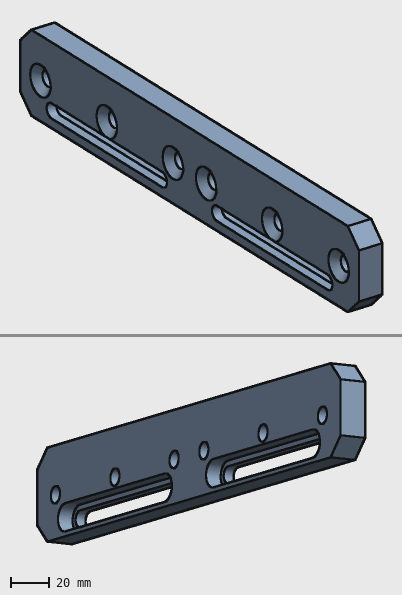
import cadquery as cq

length = 307.0
thickness = 15.0
height = 50.0
corner_chamfer = 10.0

hole_diameter = 9.2
sink_diameter = 18.5
sink_angle = 90.0
hole_height = 23.5
hole_offsets = (15.0, 75.0, 135.0)

slot_length = 109.0
slot_width = 9.0
lip_depth = 6.0
pocket_width = 15.0
slot_height = 10.0
slot_offset = 75.0

plate = (
    cq.Workplane("XY")
    .box(length, thickness, height)
    .edges("|Y")
    .chamfer(corner_chamfer)
)


def front_points(offsets, height_above_bottom):
    """Mirrored pairs of points on the front face, at one height."""
    z = height_above_bottom - height / 2
    return [(side * offset, z) for offset in offsets for side in (-1, 1)]


def slot_pair(slot_size, width, start_depth):
    """Two slot-shaped cutters running from a depth below the front face out through the back."""
    return (
        cq.Workplane("XZ", origin=(0, start_depth - thickness / 2, 0))
        .pushPoints(front_points([slot_offset], slot_height))
        .slot2D(slot_size, width)
        .extrude(start_depth - thickness)
    )


pocket_length = slot_length + pocket_width - slot_width
slots = slot_pair(slot_length, slot_width, 0)
pockets = slot_pair(pocket_length, pocket_width, lip_depth)

front = cq.Workplane("XZ", origin=(0, -thickness / 2, 0))

result = (
    plate.cut(slots)
    .cut(pockets)
    .copyWorkplane(front)
    .pushPoints(front_points(hole_offsets, hole_height))
    .cskHole(hole_diameter, sink_diameter, sink_angle)
)